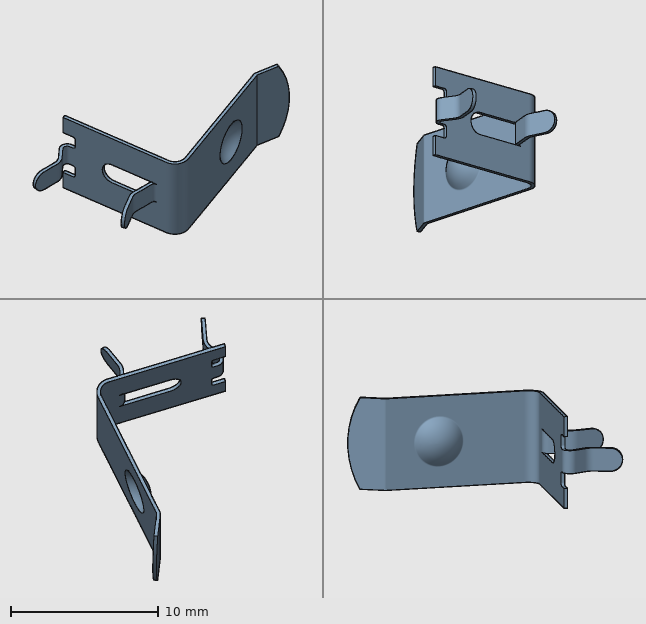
import cadquery as cq
import math

THICKNESS = 0.254
WIDTH = 6.35
OVERLAP = 1.0
SHORTEST_EDGE = 1e-6

BASE_LENGTH = 8.415
ARM_BEND_RADIUS = 0.8
ARM_BEND_ANGLE = 95
ARM_LENGTH = 9.8
FLANGE_BEND_ANGLE = -30
FLANGE_LENGTH = 2.58
FLANGE_TIP_RADIUS = WIDTH

DIMPLE_DISTANCE = 6.08
DIMPLE_HEIGHT = 0.8
DIMPLE_SPHERE_RADIUS = 2.2
DIMPLE_FILLET = 0.15

TAB_WIDTH = 1.6
TAB_ROOT_RADIUS = 0.3
TAB_ELBOW_RADIUS = 0.75
TAB_TIP_LENGTH = 1.96
EDGE_TAB_ROOT_ANGLE = 120
EDGE_TAB_SHANK = 0.9
EDGE_TAB_ELBOW_ANGLE = -45
SLOT_TAB_START = 7.63
SLOT_TAB_ROOT_ANGLE = 75
SLOT_TAB_SHANK = 1.39
SLOT_TAB_ELBOW_ANGLE = 32

NOTCH_DEPTH = 1.0
NOTCH_SPAN = 3.58
NOTCH_CORNER_RADIUS = 0.2
SLOT_START = 3.2


def direction(angle):
    """Unit vector in the XY plane at an angle in degrees from X."""
    return cq.Vector(math.cos(math.radians(angle)), math.sin(math.radians(angle)))


def bent_strip(start, heading, steps, width):
    """Bend a strip along its mid line; return the solid, its end point and its end heading.

    A step is ("straight", length) or ("bend", inner radius, angle), left turns being positive.
    """
    half = THICKNESS / 2
    point = cq.Vector(*start)
    left_side = []
    right_side = []

    def sides(at, angle):
        normal = direction(angle + 90) * half
        return at + normal, at - normal

    first_left, first_right = sides(point, heading)
    left_end, right_end = first_left, first_right
    for step in steps:
        if step[0] == "straight":
            point = point + direction(heading) * step[1]
            left_middle = right_middle = None
        else:
            _, inner_radius, angle = step
            turn = math.copysign(90, angle)
            radius = inner_radius + half
            center = point + direction(heading + turn) * radius
            middle = center - direction(heading + angle / 2 + turn) * radius
            left_middle, right_middle = sides(middle, heading + angle / 2)
            heading += angle
            point = center - direction(heading + turn) * radius
        left_start, right_start = left_end, right_end
        left_end, right_end = sides(point, heading)
        left_side.append((left_start, left_middle, left_end))
        right_side.append((right_end, right_middle, right_start))

    def edge(begin, middle, end):
        if middle is None:
            return cq.Edge.makeLine(begin, end)
        return cq.Edge.makeThreePointArc(begin, middle, end)

    outline = left_side + [(left_end, None, right_end)]
    outline += right_side[::-1] + [(first_right, None, first_left)]
    edges = [edge(*piece) for piece in outline if (piece[2] - piece[0]).Length > SHORTEST_EDGE]
    wire = cq.Wire.assembleEdges(edges)
    strip = cq.Workplane("XY").add(wire).toPending().extrude(width / 2, both=True)
    return strip, point, heading


def round_tip(strip, tip, heading, width, radius):
    """Trim the end of a strip to an arc across its width."""
    plane = cq.Plane(origin=tip, xDir=direction(heading), normal=direction(heading + 90))
    corner_drop = radius - math.sqrt(radius**2 - (width / 2) ** 2)
    end_block = (
        cq.Workplane(plane)
        .center((OVERLAP - corner_drop) / 2, 0)
        .rect(corner_drop + OVERLAP, width + OVERLAP)
        .extrude(THICKNESS, both=True)
    )
    kept_disc = cq.Workplane(plane).center(-radius, 0).circle(radius).extrude(THICKNESS, both=True)
    return strip.cut(end_block.cut(kept_disc))


def make_body():
    """Base plate, spring arm and lead-in flange as one bent strip."""
    steps = [
        ("straight", BASE_LENGTH),
        ("bend", ARM_BEND_RADIUS, ARM_BEND_ANGLE),
        ("straight", ARM_LENGTH),
        ("bend", 0, FLANGE_BEND_ANGLE),
        ("straight", FLANGE_LENGTH),
    ]
    body, tip, heading = bent_strip((0, THICKNESS / 2), 0, steps, WIDTH)
    return round_tip(body, tip, heading, WIDTH, FLANGE_TIP_RADIUS)


def make_tab(root_x, root_angle, shank_length, elbow_angle):
    """Tab bent out of the base plate at root_x, with an elbow and a fully rounded tip."""
    steps = [
        ("bend", TAB_ROOT_RADIUS, root_angle),
        ("straight", shank_length),
        ("bend", TAB_ELBOW_RADIUS, elbow_angle),
        ("straight", TAB_TIP_LENGTH),
    ]
    tab, tip, heading = bent_strip((root_x, THICKNESS / 2), 180, steps, TAB_WIDTH)
    return round_tip(tab, tip, heading, TAB_WIDTH, TAB_WIDTH / 2)


def base_cutter(x_start, x_end, z_center, height):
    """Block that passes through the base plate."""
    return (
        cq.Workplane("XY")
        .box(x_end - x_start, THICKNESS + OVERLAP, height)
        .translate(((x_start + x_end) / 2, THICKNESS / 2, z_center))
    )


def cut_tab_openings(body, edge_tab_root):
    """Notch the plate beside the edge tab, free that tab, and cut the slot behind the other tab."""
    notch_height = (NOTCH_SPAN - TAB_WIDTH) / 2
    for side in (-1, 1):
        notch_z = side * (TAB_WIDTH + notch_height) / 2
        notch = base_cutter(-OVERLAP, NOTCH_DEPTH, notch_z, notch_height)
        body = body.cut(notch.edges(">X and |Y").fillet(NOTCH_CORNER_RADIUS))
    body = body.cut(base_cutter(-OVERLAP, edge_tab_root, 0, TAB_WIDTH))

    slot = base_cutter(SLOT_START, SLOT_TAB_START, 0, TAB_WIDTH)
    slot_end = base_cutter(SLOT_START, SLOT_START + TAB_WIDTH / 2, 0, TAB_WIDTH)
    round_end = (
        cq.Workplane("XZ", origin=(SLOT_START + TAB_WIDTH / 2, THICKNESS / 2, 0))
        .circle(TAB_WIDTH / 2)
        .extrude(THICKNESS + OVERLAP, both=True)
    )
    return body.cut(slot.cut(slot_end.cut(round_end)))


def arm_plane():
    """Plane through the dimple axis: x along the arm's inner face, y out of that face."""
    bend_center = cq.Vector(BASE_LENGTH, THICKNESS + ARM_BEND_RADIUS)
    bend_end = bend_center + direction(ARM_BEND_ANGLE - 90) * ARM_BEND_RADIUS
    origin = bend_end + direction(ARM_BEND_ANGLE) * DIMPLE_DISTANCE
    return cq.Plane(origin=origin, xDir=direction(ARM_BEND_ANGLE), normal=(0, 0, 1))


def circle_point(center, radius, angle):
    return center[0] + radius * math.cos(angle), center[1] + radius * math.sin(angle)


def press_dimple(body):
    """Press a hollow spherical cap of sheet thickness, with a fillet around its foot."""
    plane = arm_plane()
    apex_angle = math.pi / 2
    back_y = -THICKNESS
    axis = ((0, 0), (0, 1))
    outer = DIMPLE_SPHERE_RADIUS
    inner = outer - THICKNESS
    center = (0, DIMPLE_HEIGHT - outer)

    fillet_rise = DIMPLE_FILLET - center[1]
    foot_angle = math.asin(fillet_rise / (outer + DIMPLE_FILLET))
    fillet_center = circle_point(center, outer + DIMPLE_FILLET, foot_angle)
    fillet_middle_angle = (foot_angle - math.pi - math.pi / 2) / 2
    dome = (
        cq.Workplane(plane)
        .moveTo(0, back_y)
        .lineTo(fillet_center[0], back_y)
        .lineTo(fillet_center[0], 0)
        .threePointArc(
            circle_point(fillet_center, DIMPLE_FILLET, fillet_middle_angle),
            circle_point(center, outer, foot_angle),
        )
        .threePointArc(circle_point(center, outer, (foot_angle + apex_angle) / 2), (0, DIMPLE_HEIGHT))
        .close()
        .revolve(360, *axis)
    )

    mouth_angle = math.asin((back_y - center[1]) / inner)
    hollow = (
        cq.Workplane(plane)
        .moveTo(0, back_y)
        .lineTo(*circle_point(center, inner, mouth_angle))
        .threePointArc(
            circle_point(center, inner, (mouth_angle + apex_angle) / 2),
            circle_point(center, inner, apex_angle),
        )
        .close()
        .revolve(360, *axis)
    )
    return body.union(dome).cut(hollow)


edge_tab_root = TAB_ROOT_RADIUS + THICKNESS
edge_tab = make_tab(edge_tab_root, EDGE_TAB_ROOT_ANGLE, EDGE_TAB_SHANK, EDGE_TAB_ELBOW_ANGLE)
slot_tab = make_tab(SLOT_TAB_START, SLOT_TAB_ROOT_ANGLE, SLOT_TAB_SHANK, SLOT_TAB_ELBOW_ANGLE)

clip = cut_tab_openings(make_body(), edge_tab_root)
clip = press_dimple(clip)
result = clip.union(edge_tab).union(slot_tab)